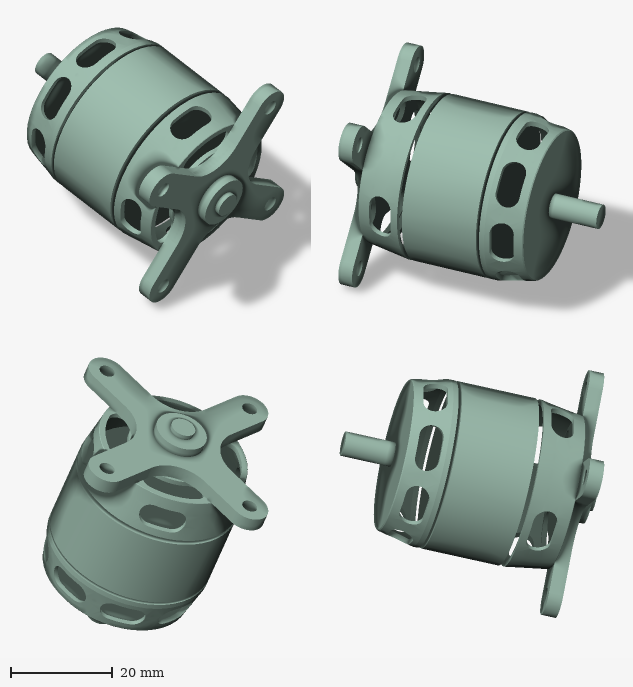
import cadquery as cq
import math


overall_length = 51.15

shaft_radius = 2.45
front_shaft_length = 10.1
rear_shaft_length = 1.05

body_radius = 16.85
cap_wall = 1.05

front_cap_start = 10.35
front_cap_length = 8.65
front_cap_nose_radius = 15.25
front_cap_chamfer = 0.2
front_cap_floor = 1.0
front_cap_rim = 1.05
front_vent_count = 8
front_vent_center = 14.55
front_vent_length = 9.2
front_vent_width = 4.7

can_start = 19.65
can_length = 15.7

rear_cap_start = 36.35
rear_cap_length = 8.8
rear_cap_tail_radius = 15.45
rear_cap_chamfer = 0.1
rear_cap_floor = 1.0
rear_window_count = 4
rear_window_radius = 11.75
rear_window_width = 4.8
rear_window_half_angle = 20
rear_vent_count = 4
rear_vent_center = 40.3
rear_vent_length = 9.5
rear_vent_width = 4.8
rear_vent_turn = 2.1

cross_start = rear_cap_start + rear_cap_length
cross_thickness = 2.9
arm_count = 4
arm_first_angle = 45
arm_width = 7.7
arm_hole_diameter = 3.1
cross_outer_side = 37.35
cross_inner_fillet = 7.8
arm_hole_distance = (cross_outer_side - arm_width) / math.sqrt(2)

collar_start = cross_start + cross_thickness
collar_radius = 5.2
collar_length = overall_length - rear_shaft_length - collar_start


def rod(start, length, radius):
    """Solid cylinder along the motor axis."""
    return cq.Workplane("YZ", origin=(start, 0, 0)).circle(radius).extrude(length)


def revolve_profile(points):
    """Turn a closed (x, radius) outline about the motor axis."""
    return cq.Workplane("XY").polyline(points).close().revolve(360, (0, 0, 0), (1, 0, 0))


def cut_vents(cap, center, length, width, count, first_angle):
    """Cut a ring of straight slots, each running radially out through the cap wall."""
    vent = (
        cq.Workplane("XY", origin=(center, 0, 0))
        .slot2D(length, width, 90)
        .extrude(body_radius)
    )
    for index in range(count):
        angle = first_angle + index * 360 / count
        cap = cap.cut(vent.rotate((0, 0, 0), (1, 0, 0), angle))
    return cap


def make_front_cap():
    """Cup with a flat nose, a tapered vented wall and a straight rim."""
    end = front_cap_start + front_cap_length
    rim_start = end - front_cap_rim
    floor_end = front_cap_start + front_cap_floor
    chamfer_end = front_cap_start + front_cap_chamfer
    taper = (body_radius - front_cap_nose_radius) / (rim_start - chamfer_end)
    floor_radius = front_cap_nose_radius + taper * (floor_end - chamfer_end) - cap_wall
    cap = revolve_profile([
        (front_cap_start, 0),
        (front_cap_start, front_cap_nose_radius - front_cap_chamfer),
        (chamfer_end, front_cap_nose_radius),
        (rim_start, body_radius),
        (end, body_radius),
        (end, body_radius - cap_wall),
        (rim_start, body_radius - cap_wall),
        (floor_end, floor_radius),
        (floor_end, 0),
    ])
    return cut_vents(cap, front_vent_center, front_vent_length, front_vent_width, front_vent_count, 0)


def point_on_circle(radius, angle):
    """Point (y, z) at a radius from the motor axis and an angle from the Y axis."""
    return radius * math.cos(math.radians(angle)), radius * math.sin(math.radians(angle))


def make_rear_window():
    """Cutter for one round-ended curved window in the floor of the rear cap, centered on +Y."""
    half_width = rear_window_width / 2
    inner = rear_window_radius - half_width
    outer = rear_window_radius + half_width
    half_angle = rear_window_half_angle
    round_end_angle = half_angle + math.degrees(half_width / rear_window_radius)
    return (
        cq.Workplane("YZ", origin=(rear_cap_start, 0, 0))
        .moveTo(*point_on_circle(inner, -half_angle))
        .threePointArc((inner, 0), point_on_circle(inner, half_angle))
        .threePointArc(
            point_on_circle(rear_window_radius, round_end_angle),
            point_on_circle(outer, half_angle),
        )
        .threePointArc((outer, 0), point_on_circle(outer, -half_angle))
        .threePointArc(
            point_on_circle(rear_window_radius, -round_end_angle),
            point_on_circle(inner, -half_angle),
        )
        .close()
        .extrude(rear_cap_length)
    )


def make_rear_cap():
    """Tapered cup with four side vents, turned slightly about the axis, and four floor windows."""
    end = rear_cap_start + rear_cap_length
    chamfer_start = end - rear_cap_chamfer
    floor_start = end - rear_cap_floor
    taper = (body_radius - rear_cap_tail_radius) / (chamfer_start - rear_cap_start)
    floor_radius = rear_cap_tail_radius + taper * (chamfer_start - floor_start) - cap_wall
    cap = revolve_profile([
        (rear_cap_start, body_radius),
        (chamfer_start, rear_cap_tail_radius),
        (end, rear_cap_tail_radius - rear_cap_chamfer),
        (end, 0),
        (floor_start, 0),
        (floor_start, floor_radius),
        (rear_cap_start, body_radius - cap_wall),
    ])
    window = make_rear_window()
    for index in range(rear_window_count):
        cap = cap.cut(window.rotate((0, 0, 0), (1, 0, 0), index * 360 / rear_window_count))
    return cut_vents(
        cap, rear_vent_center, rear_vent_length, rear_vent_width, rear_vent_count, -rear_vent_turn
    )


def make_cross():
    """Flat cross of round-ended arms, with rounded inner corners and a hole in each arm."""
    plane = cq.Workplane("YZ", origin=(cross_start, 0, 0))
    cross = None
    for angle in (arm_first_angle, arm_first_angle + 90):
        bar = plane.slot2D(2 * arm_hole_distance + arm_width, arm_width, angle).extrude(cross_thickness)
        cross = bar if cross is None else cross.union(bar)
    corner_edges = cq.selectors.BoxSelector(
        (cross_start, -arm_width, -arm_width),
        (cross_start + cross_thickness, arm_width, arm_width),
    )
    cross = cross.edges("|X").edges(corner_edges).fillet(cross_inner_fillet)
    holes = (
        plane.polarArray(arm_hole_distance, arm_first_angle, 360, arm_count)
        .circle(arm_hole_diameter / 2)
        .extrude(cross_thickness)
    )
    return cross.cut(holes)


def make_collar():
    """Round collar with the short end of the shaft standing out of it."""
    collar = rod(collar_start, collar_length, collar_radius)
    return collar.union(rod(collar_start + collar_length, rear_shaft_length, shaft_radius))


front_shaft = rod(0, front_shaft_length, shaft_radius)
front_cap = make_front_cap()
can = rod(can_start, can_length, body_radius)
rear_cap = make_rear_cap()
cross = make_cross()
collar = make_collar()

result = cq.Compound.makeCompound([
    front_shaft.val(),
    front_cap.val(),
    can.val(),
    rear_cap.val(),
    cross.val(),
    collar.val(),
])